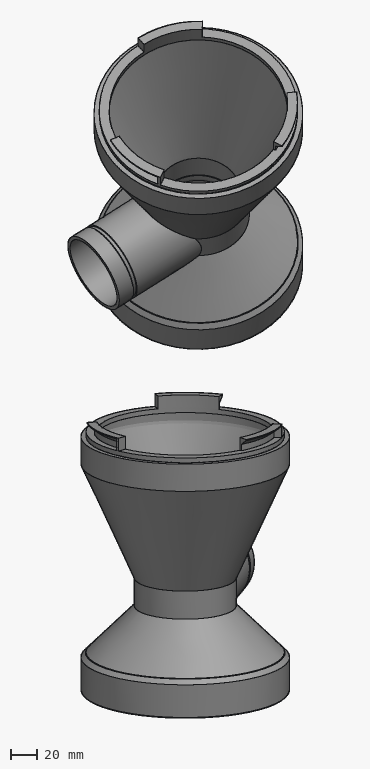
import cadquery as cq

ring_radius = 79.0
rim_radius = 150.0 / 2
socket_radius = 151.0 / 2
mouth_radius = 135.0 / 2
total_height = 213.5

base_shoulder_z = 26.5
base_edge_chamfer = 0.9
base_lip_height = ring_radius - socket_radius

neck_radius = 38.6
neck_bore_radius = 32.0
neck_relief_radius = 32.7
neck_exit_radius = 33.3
neck_bottom_z = base_shoulder_z + ring_radius - neck_radius
neck_top_z = 88.8
relief_top_z = 71.5
relief_bottom_z = 66.0
bore_bottom_z = 63.2
bore_top_z = 94.4
throat_radius = 33.0
throat_z = 97.0
funnel_top_z = 178.3
funnel_cone_top_z = 189.4
funnel_cone_top_radius = 73.7
flange_bore_radius = 74.3
flange_bore_z = 191.5
flange_top_z = 199.6
spigot_top_z = base_shoulder_z + ring_radius - rim_radius

pipe_radius = 32.0
pipe_bore_radius = 58.3 / 2
pipe_z = 75.5
pipe_end = 100.0
groove_radius = 31.0
groove_start = 83.0
groove_width = 3.2

rim_top_z = 203.5
hook_count = 3
hook_start_angle = 20.0
hook_sweep = 40.0
hook_wall_radius = 69.2
hook_tip_thickness = 0.9
hook_depth = 5.1
stop_sweep = 1.7


def revolve_profile(points, sweep=360.0):
    """Turn a closed (radius, z) outline around the Z axis, starting on +X."""
    profile = cq.Workplane("XZ").polyline(points).close()
    return profile.revolve(sweep, (0, 0, 0), (0, 1, 0))


def side_cylinder(radius, start, length):
    """Cylinder on the pipe axis, running toward -Y from the given distance."""
    plane = cq.Workplane("XZ", origin=(0, -start, pipe_z))
    return plane.circle(radius).extrude(length)


def make_base_ring():
    return revolve_profile([
        (mouth_radius, 0),
        (ring_radius - base_edge_chamfer, 0),
        (ring_radius, base_edge_chamfer),
        (ring_radius, base_shoulder_z),
        (socket_radius, base_shoulder_z + base_lip_height),
        (socket_radius, base_shoulder_z),
        (mouth_radius, base_shoulder_z),
    ])


def make_housing():
    outside = revolve_profile([
        (0, base_shoulder_z),
        (rim_radius, base_shoulder_z),
        (rim_radius, spigot_top_z),
        (neck_radius, neck_bottom_z),
        (neck_radius, neck_top_z),
        (ring_radius, funnel_top_z),
        (ring_radius, flange_top_z),
        (0, flange_top_z),
    ])
    inside = revolve_profile([
        (0, base_shoulder_z),
        (mouth_radius, base_shoulder_z),
        (neck_exit_radius, bore_bottom_z),
        (neck_relief_radius, relief_bottom_z),
        (neck_relief_radius, relief_top_z),
        (neck_bore_radius, relief_top_z),
        (neck_bore_radius, bore_top_z),
        (throat_radius, throat_z),
        (funnel_cone_top_radius, funnel_cone_top_z),
        (flange_bore_radius, flange_bore_z),
        (flange_bore_radius, flange_top_z),
        (0, flange_top_z),
    ])
    pipe = side_cylinder(pipe_radius, 0, pipe_end)
    pipe_bore = side_cylinder(pipe_bore_radius, 0, pipe_end)
    groove_floor = side_cylinder(groove_radius, groove_start, groove_width)
    groove = side_cylinder(ring_radius, groove_start, groove_width).cut(groove_floor)
    neck_bore = cq.Workplane("XY").circle(neck_bore_radius).extrude(bore_top_z)
    above_neck = cq.Workplane("XY", origin=(0, 0, relief_top_z)).circle(ring_radius).extrude(total_height)
    funnel_inside = inside.intersect(above_neck)
    pipe = pipe.cut(groove).cut(neck_bore).cut(funnel_inside)
    return outside.cut(inside).union(pipe).cut(pipe_bore)


def make_hook(start_angle):
    """Curved wall with an outward hook, closed by a stop at its far end."""
    hook = revolve_profile([
        (mouth_radius, rim_top_z),
        (hook_wall_radius, rim_top_z),
        (hook_wall_radius, total_height - hook_depth),
        (rim_radius, total_height - hook_tip_thickness),
        (rim_radius, total_height),
        (mouth_radius, total_height),
    ], hook_sweep)
    stop = revolve_profile([
        (mouth_radius, rim_top_z),
        (rim_radius, rim_top_z),
        (rim_radius, total_height),
        (mouth_radius, total_height),
    ], stop_sweep)
    stop = stop.rotate((0, 0, 0), (0, 0, 1), hook_sweep - stop_sweep)
    return hook.union(stop).rotate((0, 0, 0), (0, 0, 1), start_angle)


def make_bayonet_ring():
    ring = revolve_profile([
        (mouth_radius, flange_top_z),
        (rim_radius, flange_top_z),
        (rim_radius, rim_top_z),
        (mouth_radius, rim_top_z),
    ])
    for index in range(hook_count):
        ring = ring.union(make_hook(hook_start_angle + index * 360.0 / hook_count))
    return ring


base_ring = make_base_ring()
housing = make_housing()
bayonet_ring = make_bayonet_ring()

result = cq.Compound.makeCompound([
    *base_ring.solids().vals(),
    *housing.solids().vals(),
    *bayonet_ring.solids().vals(),
])